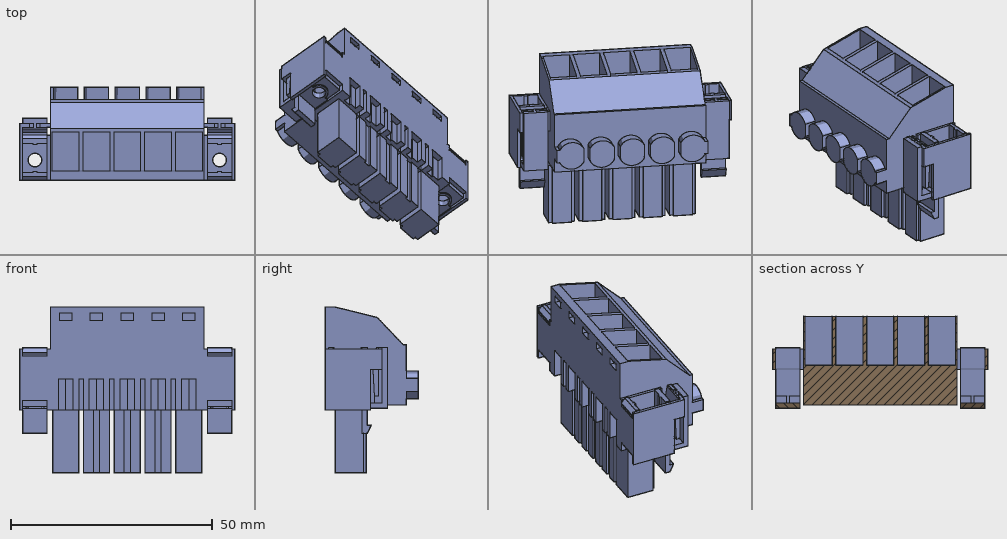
import cadquery as cq


pole_count = 5
pole_pitch = 7.65
end_pole_x = pole_pitch * (pole_count - 1) / 2
pole_xs = [pole_pitch * i - end_pole_x for i in range(pole_count)]
gap_xs = [x + pole_pitch / 2 for x in pole_xs[:-1]]

total_width = 53.35
total_depth = 23.1
total_height = 41.1
housing_width = pole_count * pole_pitch
half_housing = housing_width / 2

housing_depth = 20.1
skirt_depth = 11.25
skirt_bottom = 15.5
back_bottom = 16.8
back_top = 31.8
back_ledge_y = 19.3
ridge_y = 12.9
ridge_z = 38.5
crest_y = 2.4

funnel_width = 6.65
funnel_front = 2.3
funnel_back = 11.95
funnel_floor = 26.65

window_width = 3.1
window_bottom = 37.75
window_height = 1.8
window_depth = 1.2

slot_top = 23.2
coding_slot_width = 3.6
coding_slot_depth = 1.4
coding_slot_deep = 1.8
tower_gap = 1.1

tower_width = pole_pitch - tower_gap
tower_front = 2.45
tower_back = 9.5
tower_rib_back = 10.2
tower_rib_width = 4.8
tower_groove_width = 1.55
tower_groove_depth = 0.5

sleeve_diameter = 6.95
sleeve_width = 6.1
sleeve_z = 21.8
sleeve_root_y = 16.0
sleeve_web_height = 3.2

flange_top = 30.7
flange_depth = 14.15
outer_wall = 0.75
inner_wall = 0.75
front_wall = 0.95
rear_wall = 0.95
rear_wall_bottom = 25.6
hook_notch_bottom = 28.95
foot_notch_top = 17.9
stem_slot_width = 2.55

latch_outer_x = total_width / 2 - outer_wall
latch_inner_x = half_housing + inner_wall
latch_width = latch_outer_x - latch_inner_x
latch_x = (latch_outer_x + latch_inner_x) / 2
latch_top = 31.05
arm_back = 1.9
hook_bottom = 29.45
hook_nose_top = 29.8
leg_front = 9.2
leg_back = 10.45
leg_bottom = 9.75
barb_tip_y = 11.45
barb_top = 11.85
rib_width = 0.95
rib_depth = 0.3
seat_bottom = 16.5
seat_thickness = 1.45
nose_diameter = 4.45
seat_step_bottom = 16.0
bore_diameter = 3.3
bore_y = 5.05
lever_back = 15.45
bar_top = 17.35
gusset_depth = 0.8
gusset_height = 0.45
stem_width = 0.75
stem_front = 12.2
pad_top_front = 12.7
pad_belly_y = 11.85
pad_belly_z = 25.75
pad_bottom = 19.0


def block(x0, x1, y0, y1, z0, z1):
    """Box between two opposite corners."""
    return cq.Workplane("XY").box(x1 - x0, y1 - y0, z1 - z0, centered=False).translate((x0, y0, z0))


def centred_block(x, width, y0, y1, z0, z1):
    """Box of the given width, centred on x."""
    return block(x - width / 2, x + width / 2, y0, y1, z0, z1)


def side_profile(points, x, width):
    """Outline of (y, z) points, extruded along X and centred on x."""
    return cq.Workplane("YZ").polyline(points).close().extrude(width / 2, both=True).translate((x, 0, 0))


def housing_block():
    outline = [
        (0, skirt_bottom),
        (0, total_height),
        (crest_y, total_height),
        (ridge_y, ridge_z),
        (back_ledge_y, back_top),
        (housing_depth, back_top),
        (housing_depth, back_bottom),
        (skirt_depth, back_bottom),
        (skirt_depth, skirt_bottom),
    ]
    return side_profile(outline, 0, housing_width)


def screw_sleeve(x):
    """Round sleeve with flat sides on the back face."""
    sleeve = (
        cq.Workplane("XZ")
        .center(x, sleeve_z)
        .circle(sleeve_diameter / 2)
        .extrude(-(total_depth - sleeve_root_y))
        .translate((0, sleeve_root_y, 0))
    )
    return sleeve.intersect(centred_block(x, sleeve_width, 0, total_depth, 0, total_height))


def sleeve_webs():
    """Bar that joins each end sleeve to the nearest side of the housing."""
    z0 = sleeve_z - sleeve_web_height / 2
    right = block(end_pole_x, half_housing, sleeve_root_y, total_depth, z0, z0 + sleeve_web_height)
    return right.union(right.mirror("YZ"))


def contact_tower(x):
    """Square tower with a broad rib on its back."""
    tower = centred_block(x, tower_width, tower_front, tower_back, 0, back_bottom)
    return tower.union(centred_block(x, tower_rib_width, tower_back, tower_rib_back, 0, back_bottom))


def tower_groove(x):
    return centred_block(
        x, tower_groove_width, tower_front, tower_front + tower_groove_depth, 0, skirt_bottom
    )


def coding_slot(x):
    """Slot in the skirt whose left half is cut deeper than its right half."""
    half = coding_slot_width / 2
    shallow = block(x, x + half, 0, coding_slot_depth, skirt_bottom, slot_top)
    return shallow.union(block(x - half, x, 0, coding_slot_deep, skirt_bottom, slot_top))


def gap_slot(x):
    """Narrow slot that carries the gap between two towers up into the skirt."""
    return centred_block(x, tower_gap, 0, tower_front, skirt_bottom, slot_top)


def wire_funnel(x):
    return centred_block(x, funnel_width, funnel_front, funnel_back, funnel_floor, total_height)


def test_window(x):
    return centred_block(
        x, window_width, 0, window_depth, window_bottom, window_bottom + window_height
    )


def flange(side):
    """Open frame at one end of the housing; side is -1 or 1."""
    end_x = total_width / 2
    frame = block(half_housing, end_x, 0, flange_depth, skirt_bottom, flange_top)
    wall_front = flange_depth - rear_wall
    cuts = [
        block(latch_inner_x, latch_outer_x, front_wall, wall_front, 0, total_height),
        block(half_housing, latch_inner_x, skirt_depth, wall_front, 0, total_height),
        block(half_housing, end_x, skirt_depth, flange_depth, 0, rear_wall_bottom),
        block(latch_inner_x, latch_outer_x, 0, front_wall, hook_notch_bottom, total_height),
        block(latch_inner_x, latch_outer_x, 0, front_wall, 0, foot_notch_top),
        centred_block(latch_x, stem_slot_width, wall_front, flange_depth, 0, total_height),
    ]
    for cut in cuts:
        frame = frame.cut(cut)
    return frame if side > 0 else frame.mirror("YZ")


def make_housing():
    body = housing_block().union(sleeve_webs())
    for side in (-1, 1):
        body = body.union(flange(side))
    for x in pole_xs:
        body = body.union(screw_sleeve(x))
        body = body.union(contact_tower(x))
    for x in pole_xs:
        body = body.cut(coding_slot(x))
        body = body.cut(wire_funnel(x))
        body = body.cut(test_window(x))
    for x in pole_xs[1:-1]:
        body = body.cut(tower_groove(x))
    for x in gap_xs:
        body = body.cut(gap_slot(x))
    return body


def latch_hook_arm(x):
    """Front arm with a hook that laps over the front wall of the flange."""
    outline = [
        (front_wall, seat_bottom),
        (front_wall, hook_bottom),
        (0, hook_bottom),
        (0, hook_nose_top),
        (front_wall, latch_top),
        (arm_back, latch_top),
        (arm_back, seat_bottom),
    ]
    return side_profile(outline, x, latch_width)


def latch_leg(x):
    """Long plate with the locking barb at its lower end."""
    outline = [
        (leg_front, leg_bottom),
        (leg_front, latch_top),
        (leg_back, latch_top),
        (leg_back, barb_top),
        (barb_tip_y, barb_top),
        (leg_back, leg_bottom),
    ]
    return side_profile(outline, x, latch_width)


def latch_lever(x):
    """Thumb plate on the back, with the bar at its foot that runs to the leg."""
    outline = [
        (leg_back, seat_step_bottom),
        (leg_back, bar_top + gusset_height),
        (leg_back + gusset_depth, bar_top),
        (flange_depth, bar_top),
        (flange_depth, latch_top),
        (lever_back, latch_top),
        (lever_back, seat_step_bottom),
    ]
    return side_profile(outline, x, latch_width)


def latch_pad(x):
    """Tapered pad inside the rear wall, joined to the lever by a thin stem."""
    pad_back = flange_depth - rear_wall
    outline = [
        (pad_back, pad_bottom),
        (pad_back, latch_top),
        (pad_top_front, latch_top),
        (pad_belly_y, pad_belly_z),
        (stem_front, pad_bottom),
    ]
    stem = centred_block(x, stem_width, pad_back, flange_depth, bar_top, latch_top)
    foot = centred_block(x, stem_width, stem_front, flange_depth, bar_top, pad_bottom)
    return side_profile(outline, x, latch_width).union(stem).union(foot)


def latch_seat(x):
    """Floor between arm and leg, with a round-nosed step below its rear half."""
    seat = centred_block(x, latch_width, front_wall, leg_back, seat_bottom, seat_bottom + seat_thickness)
    nose = (
        cq.Workplane("XY", origin=(x, bore_y, seat_step_bottom))
        .circle(nose_diameter / 2)
        .extrude(seat_bottom - seat_step_bottom)
    )
    step = centred_block(x, latch_width, bore_y, leg_back, seat_step_bottom, seat_bottom)
    return seat.union(nose).union(step)


def make_latch(x):
    latch = latch_seat(x).union(latch_hook_arm(x)).union(latch_leg(x))
    latch = latch.union(latch_lever(x)).union(latch_pad(x))
    for rib_front in (arm_back, leg_front - rib_depth):
        latch = latch.union(
            centred_block(x, rib_width, rib_front, rib_front + rib_depth, seat_bottom, latch_top)
        )
    bore = cq.Workplane("XY", origin=(x, bore_y, 0)).circle(bore_diameter / 2).extrude(latch_top)
    return latch.cut(bore)


housing = make_housing()
latches = [make_latch(side * latch_x) for side in (-1, 1)]

result = cq.Compound.makeCompound([housing.val(), *[latch.val() for latch in latches]])